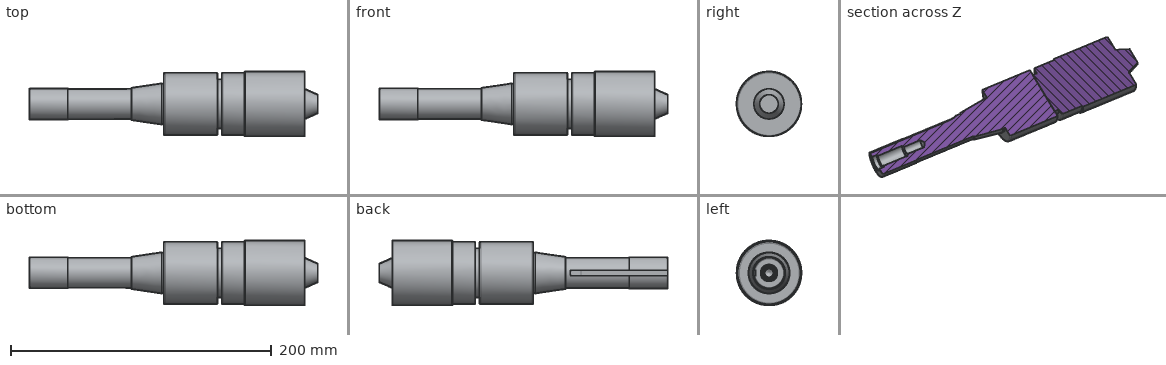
import cadquery as cq
import math

total_length = 221.6
shank_end_x = -total_length / 2
nose_end_x = total_length / 2
pilot_length = 29.5
taper_start_x = shank_end_x + 78.4
taper_end_x = shank_end_x + 101.7
housing_start_x = shank_end_x + 103.3
housing_length = 41.3
groove_width = 3.1
collar_length = 17.55
nose_length = 10.0
housing_end_x = housing_start_x + housing_length
collar_start_x = housing_end_x + groove_width
sleeve_start_x = collar_start_x + collar_length
sleeve_end_x = nose_end_x - nose_length

pilot_diameter = 24.1
neck_diameter = 23.5
taper_small_diameter = 25.0
taper_large_diameter = 31.75
relief_diameter = 31.15
housing_diameter = 48.0
groove_diameter = 38.0
sleeve_diameter = 50.0
nose_base_diameter = 23.2
nose_tip_diameter = 14.2

taper_lead = 0.5
rim_fillet = 1.0
sleeve_front_chamfer = 0.5

selection_margin = 0.01

keyway_width = 4.0
keyway_floor_y = 10.0
keyway_length = 75.0
keyway_cutter_radius = 20.0

mouth_diameter = 13.0
counterbore_diameter = 12.0
counterbore_depth = 4.0
thread_diameter = 9.73
thread_depth = 25.0
cone_diameter = 9.0
pilot_hole_diameter = 6.65
pilot_hole_depth = 40.0
drill_point_angle = 118.0


def revolve_about_x(points):
    """Turn a half profile of (x, radius) points that starts and ends on the axis."""
    return cq.Workplane("XY").polyline(points).close().revolve(360, (0, 0, 0), (1, 0, 0))


def round_rims(body, rims):
    """Round the circular edges given as (x, diameter) pairs."""
    for x, diameter in rims:
        radius = diameter / 2
        rim_box = cq.selectors.BoxSelector(
            (x - selection_margin, -radius - selection_margin, -radius - selection_margin),
            (x + selection_margin, radius + selection_margin, radius + selection_margin),
            boundingbox=True,
        )
        outer_edge = body.edges(rim_box).edges(cq.selectors.RadiusNthSelector(-1))
        body = outer_edge.fillet(rim_fillet)
    return body


def make_drawbar_hole():
    """Stepped drill shape along the axis, entering from the shank end."""
    mouth_depth = (mouth_diameter - counterbore_diameter) / 2
    drill_point_slope = math.tan(math.radians(drill_point_angle / 2))
    countersink_length = (counterbore_diameter - thread_diameter) / 2 / drill_point_slope
    cone_length = (cone_diameter - pilot_hole_diameter) / 2
    point_length = pilot_hole_diameter / 2 / drill_point_slope
    x = shank_end_x
    return revolve_about_x([
        (x, 0),
        (x, mouth_diameter / 2),
        (x + mouth_depth, counterbore_diameter / 2),
        (x + counterbore_depth, counterbore_diameter / 2),
        (x + counterbore_depth + countersink_length, thread_diameter / 2),
        (x + thread_depth, thread_diameter / 2),
        (x + thread_depth, cone_diameter / 2),
        (x + thread_depth + cone_length, pilot_hole_diameter / 2),
        (x + pilot_hole_depth, pilot_hole_diameter / 2),
        (x + pilot_hole_depth + point_length, 0),
    ])


def make_keyway():
    """Slot open at the shank end whose floor curves up to the neck surface."""
    runout_rise = neck_diameter / 2 - keyway_floor_y
    cutter_y = keyway_floor_y + keyway_cutter_radius
    cutter_x = shank_end_x + keyway_length - math.sqrt(
        keyway_cutter_radius ** 2 - (keyway_cutter_radius - runout_rise) ** 2)
    arc_middle = (
        cutter_x + keyway_cutter_radius * math.sin(math.radians(45)),
        cutter_y - keyway_cutter_radius * math.cos(math.radians(45)),
    )
    return (
        cq.Workplane("XY")
        .moveTo(shank_end_x, keyway_floor_y)
        .lineTo(cutter_x, keyway_floor_y)
        .threePointArc(arc_middle, (cutter_x + keyway_cutter_radius, cutter_y))
        .lineTo(shank_end_x, cutter_y)
        .close()
        .extrude(keyway_width / 2, both=True)
    )


def make_arbor():
    """Tapered shank and the housing behind it, with drawbar hole and keyway."""
    blank = revolve_about_x([
        (shank_end_x, 0),
        (shank_end_x, pilot_diameter / 2),
        (shank_end_x + pilot_length, pilot_diameter / 2),
        (shank_end_x + pilot_length, neck_diameter / 2),
        (taper_start_x, neck_diameter / 2),
        (taper_start_x + taper_lead, taper_small_diameter / 2),
        (taper_end_x, taper_large_diameter / 2),
        (taper_end_x, relief_diameter / 2),
        (housing_start_x, relief_diameter / 2),
        (housing_start_x, housing_diameter / 2),
        (housing_end_x, housing_diameter / 2),
        (housing_end_x, 0),
    ])
    rims = [
        (shank_end_x, pilot_diameter),
        (housing_start_x, housing_diameter),
        (housing_end_x, housing_diameter),
    ]
    return round_rims(blank, rims).cut(make_drawbar_hole()).cut(make_keyway())


def make_chuck():
    """Grooved neck, collar, sleeve and conical nose that butt against the housing."""
    blank = revolve_about_x([
        (housing_end_x, 0),
        (housing_end_x, groove_diameter / 2),
        (collar_start_x, groove_diameter / 2),
        (collar_start_x, housing_diameter / 2),
        (sleeve_start_x, housing_diameter / 2),
        (sleeve_start_x, sleeve_diameter / 2 - sleeve_front_chamfer),
        (sleeve_start_x + sleeve_front_chamfer, sleeve_diameter / 2),
        (sleeve_end_x, sleeve_diameter / 2),
        (sleeve_end_x, nose_base_diameter / 2),
        (nose_end_x, nose_tip_diameter / 2),
        (nose_end_x, 0),
    ])
    rims = [
        (collar_start_x, housing_diameter),
        (sleeve_end_x, sleeve_diameter),
    ]
    return round_rims(blank, rims)


arbor = make_arbor()
chuck = make_chuck()
result = cq.Compound.makeCompound([arbor.val(), chuck.val()])